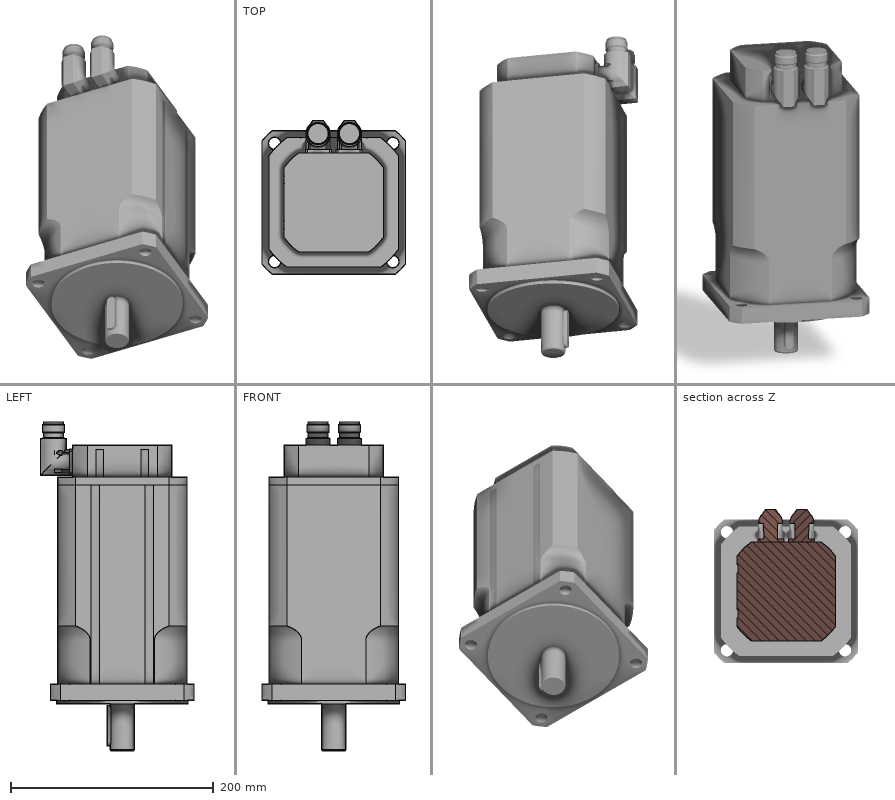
import cadquery as cq
import math


flange_width = 142.0
flange_corner_diameter = 187.0
flange_thickness = 16.0
bolt_circle_diameter = 165.0
bolt_hole_diameter = 12.0
bolt_count = 4
bolt_start_angle = 45.0
pilot_diameter = 130.0
pilot_height = 3.5

body_width = 128.0
body_corner_diameter = 158.0
body_top = 212.5
waist_diameter = 143.0
waist_top = 60.0
flare_radius = 16.0

groove_depth = 1.0
groove_inner = 22.3
groove_outer = 31.0

cover_plate_thickness = 8.0
cap_width = 98.0
cap_corner_diameter = 120.0
cap_height = 31.5
cap_groove_height = cap_height - 4.0
cap_groove_inner = 18.5
cap_groove_outer = 26.0

shaft_diameter = 24.0
shaft_end = -50.0
shaft_chamfer_height = 1.5
shaft_chamfer_depth = 0.75
key_width = 8.0
key_length = 40.0
key_top_radius = 15.0
key_end_gap = 5.0

connector_spacing = 31.0
connector_axis_y = 68.0
connector_back_y = 81.0
connector_top = 275.0
arm_drop = 39.8
elbow_diameter = 24.0
elbow_stretch = 0.7
elbow_shoulder_drop = 16.4
elbow_back_width = 10.6
elbow_flank_width = 16.0
elbow_flank_depth = 8.9
foot_width = 26.0
foot_spacing = 30.0
foot_corner = 2.3
foot_thickness = 3.2
screw_channel_diameter = 2.7
screw_channel_offset = 8.3
screw_pocket_diameter = 5.0
screw_pocket_offset = 9.3
screw_pocket_start = 1.0
screw_pocket_end = 8.3
neck_diameter = 20.0
ring_diameter = 22.0
ring_top_drop = 3.0
ring_bottom_drop = 10.0
bevel_height = 0.9

plate_top = body_top + cover_plate_thickness
foot_back_y = cap_width / 2
arm_z = connector_top - arm_drop
shoulder_z = connector_top - elbow_shoulder_drop


def rounded_square(width, corner_diameter, bottom, height):
    """A square prism whose corners are turned to a circle about the Z axis."""
    square = cq.Workplane("XY").workplane(offset=bottom).rect(width, width).extrude(height)
    turned = cq.Workplane("XY").workplane(offset=bottom).circle(corner_diameter / 2).extrude(height)
    return square.intersect(turned)


def side_grooves(width, inner, outer, bottom, height):
    """Two shallow upright grooves in the -X face of a square prism."""
    groove = cq.Workplane("XY").box(
        2 * groove_depth, outer - inner, height, centered=(True, True, False)
    )
    middle = (inner + outer) / 2
    left = groove.translate((-width / 2, middle, bottom))
    right = groove.translate((-width / 2, -middle, bottom))
    return left.union(right)


def waist_cutter():
    """Ring that turns the lower corners down to the waist and flares out above it."""
    waist_radius = waist_diameter / 2
    outer_radius = body_corner_diameter
    arc_angle = math.radians(45)
    arc_middle = (
        waist_radius + flare_radius * (1 - math.cos(arc_angle)),
        waist_top + flare_radius * math.sin(arc_angle),
    )
    arc_end = (waist_radius + flare_radius, waist_top + flare_radius)
    return (
        cq.Workplane("XZ")
        .moveTo(waist_radius, flange_thickness)
        .lineTo(waist_radius, waist_top)
        .threePointArc(arc_middle, arc_end)
        .lineTo(outer_radius, arc_end[1])
        .lineTo(outer_radius, flange_thickness)
        .close()
        .revolve(360, (0, 0, 0), (0, 1, 0))
    )


def make_housing():
    flange = rounded_square(flange_width, flange_corner_diameter, 0, flange_thickness)
    bolt_holes = (
        cq.Workplane("XY")
        .polarArray(bolt_circle_diameter / 2, bolt_start_angle, 360, bolt_count)
        .circle(bolt_hole_diameter / 2)
        .extrude(flange_thickness)
    )
    pilot = cq.Workplane("XY").circle(pilot_diameter / 2).extrude(-pilot_height)
    body_height = body_top - flange_thickness
    body = rounded_square(body_width, body_corner_diameter, flange_thickness, body_height)
    body = body.cut(waist_cutter())
    body = body.cut(
        side_grooves(body_width, groove_inner, groove_outer, flange_thickness, body_height)
    )
    return flange.cut(bolt_holes).union(pilot).union(body)


def make_cover():
    plate = rounded_square(body_width, body_corner_diameter, body_top, cover_plate_thickness)
    cap = rounded_square(cap_width, cap_corner_diameter, plate_top, cap_height)
    cap = cap.cut(
        side_grooves(cap_width, cap_groove_inner, cap_groove_outer, plate_top, cap_groove_height)
    )
    return plate.union(cap)


def make_shaft():
    """Shaft end with its round-ended key on the +Y side."""
    shaft = (
        cq.Workplane("XY")
        .workplane(offset=shaft_end)
        .circle(shaft_diameter / 2)
        .extrude(-pilot_height - shaft_end)
        .faces("<Z")
        .chamfer(shaft_chamfer_height, shaft_chamfer_depth)
    )
    key = (
        cq.Workplane("XZ")
        .center(0, shaft_end + key_end_gap + key_length / 2)
        .slot2D(key_length, key_width, 90)
        .extrude(-key_top_radius)
    )
    return shaft.union(key)


def elbow_profile(plane, length, back_side):
    """Bar with the elbow's section: a stretched circle with a flat back between sloping flanks.

    back_side is 1 or -1 and sets whether the back faces the plane's local +Y or -Y.
    """
    radius = elbow_diameter / 2
    back = (connector_back_y - connector_axis_y) * back_side
    flank = elbow_flank_depth * back_side
    back_points = [
        (-elbow_flank_width / 2, flank),
        (-elbow_back_width / 2, back),
        (elbow_back_width / 2, back),
        (elbow_flank_width / 2, flank),
        (0, 0),
    ]
    cylinder = plane.circle(radius).extrude(length)
    stretch = plane.center(0, -elbow_stretch * back_side).circle(radius).extrude(length)
    back_block = plane.polyline(back_points).close().extrude(length)
    return cylinder.union(stretch).union(back_block)


def make_elbow(axis_x):
    """Upright and arm, with clearance for the four foot screws along the arm."""

    def section(y):
        return cq.Workplane("XZ", origin=(axis_x, y, arm_z))

    def screw_cylinders(diameter, offset, start_y, end_y):
        return (
            section(start_y)
            .rect(2 * offset, 2 * offset, forConstruction=True)
            .vertices()
            .circle(diameter / 2)
            .extrude(start_y - end_y)
        )

    bend_depth = connector_back_y - connector_axis_y
    base = cq.Workplane("XY", origin=(axis_x, connector_axis_y, arm_z))
    upright = elbow_profile(base, shoulder_z - arm_z, 1)
    arm = elbow_profile(section(connector_axis_y), connector_axis_y - foot_back_y, -1)
    bend = elbow_profile(base, -bend_depth, 1).intersect(
        elbow_profile(section(connector_axis_y), -bend_depth, -1)
    )

    pocket_start_y = connector_axis_y - screw_pocket_start
    pocket_end_y = connector_axis_y - screw_pocket_end
    pockets = screw_cylinders(
        screw_pocket_diameter, screw_pocket_offset, pocket_start_y, pocket_end_y
    )
    channels = screw_cylinders(
        screw_channel_diameter, screw_channel_offset, pocket_end_y, foot_back_y
    )
    return upright.union(bend).union(arm).cut(pockets).cut(channels)


def make_foot(center_x):
    """Square plate with bevelled corners that sits on the +Y face of the cap."""
    return (
        cq.Workplane("XZ", origin=(center_x, foot_back_y, arm_z))
        .rect(foot_width, foot_width)
        .extrude(-foot_thickness)
        .edges("|Y")
        .chamfer(foot_corner)
    )


def make_coupling(axis_x):
    """Neck with a bevelled collar at its root and a bevelled ring below its top."""
    neck_radius = neck_diameter / 2
    ring_radius = ring_diameter / 2
    ring_bottom = connector_top - ring_bottom_drop
    ring_top = connector_top - ring_top_drop
    return (
        cq.Workplane("XZ", origin=(axis_x, connector_axis_y, 0))
        .moveTo(0, shoulder_z)
        .lineTo(ring_radius, shoulder_z)
        .lineTo(neck_radius, shoulder_z + bevel_height)
        .lineTo(neck_radius, ring_bottom - bevel_height)
        .lineTo(ring_radius, ring_bottom)
        .lineTo(ring_radius, ring_top)
        .lineTo(neck_radius, ring_top + bevel_height)
        .lineTo(neck_radius, connector_top)
        .lineTo(0, connector_top)
        .close()
        .revolve(360, (0, 0, 0), (0, 1, 0))
    )


def make_connector(side):
    """Angle connector on the -X (side -1) or +X (side 1) half of the cap."""
    axis_x = side * connector_spacing / 2
    foot_x = side * foot_spacing / 2
    return make_elbow(axis_x).union(make_foot(foot_x)).union(make_coupling(axis_x))


housing = make_housing()
cover = make_cover()
shaft = make_shaft()
connectors = [make_connector(side) for side in (-1, 1)]

result = cq.Compound.makeCompound(
    [housing.val(), cover.val(), shaft.val(), *[connector.val() for connector in connectors]]
)